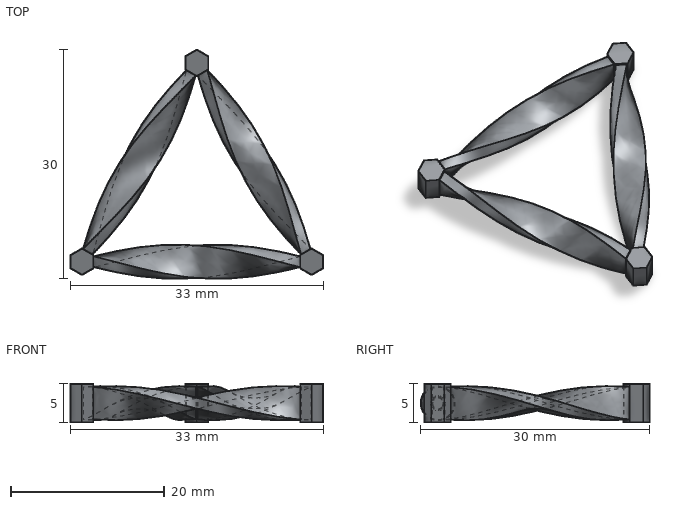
import cadquery as cq
import math

overall_length = 33.0
post_height = 5.0
post_across_flats = 3.0

bar_thickness = 1.42
bar_height = 4.25
bar_twist = 180.0

post_count = 3
side_length = overall_length - post_across_flats
inner_radius = side_length / (2 * math.sqrt(3))
corner_radius = 2 * inner_radius
bar_length = side_length - post_across_flats
post_across_corners = post_across_flats / math.cos(math.radians(30))


def make_post():
    """Hexagonal post on the +Y corner, with flats facing -X and +X."""
    return (
        cq.Workplane("XY")
        .center(0, corner_radius)
        .transformed(rotate=(0, 0, 90))
        .polygon(6, post_across_corners)
        .extrude(post_height / 2, both=True)
    )


def make_bar():
    """Twisted rectangular bar along X, between the flats of the two -Y posts."""
    return (
        cq.Workplane("YZ", origin=(-bar_length / 2, -inner_radius, 0))
        .rect(bar_thickness, bar_height)
        .twistExtrude(bar_length, bar_twist)
    )


post = make_post()
bar = make_bar()
result = cq.Workplane("XY")
for index in range(post_count):
    angle = index * 360 / post_count
    result = result.union(post.rotate((0, 0, 0), (0, 0, 1), angle))
    result = result.union(bar.rotate((0, 0, 0), (0, 0, 1), angle))